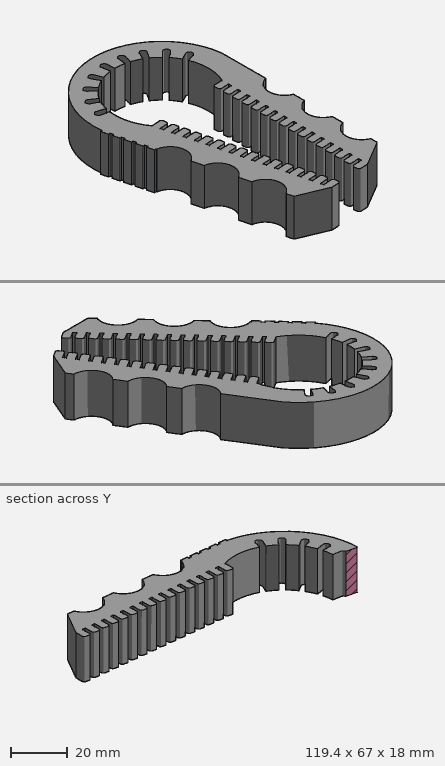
import cadquery as cq
import math

length = 119.4
height = 18.0
outer_radius = 33.1
inner_radius = 22.6

shoulder_x = 112.9
shoulder_y = 23.0
nose_y = 9.8
arm_slope = (outer_radius - shoulder_y) / (shoulder_x - outer_radius)
arm_angle = math.atan(arm_slope)

tooth_count = 16
tooth_width = 3.3
first_tooth_x = 44.7
first_tip_y = 14.3
tip_fillet = 1.0
tooth_pitch = (length - tooth_width - first_tooth_x) / (tooth_count - 1)

root_start_y = math.sqrt(inner_radius**2 - (first_tooth_x - outer_radius) ** 2)

scallop_count = 3
scallop_radius = 7.5
scallop_pitch = 20.0
first_scallop_x = 63.2
first_scallop_y = 31.6

slot_count = 9
slot_step_angle = 18.0
slot_end_radius = 1.4
slot_end_distance = 26.5
slot_mouth_width = 2.3

pad_count = 5
pad_height = 0.8


def root_y(x):
    """Height of the tooth root line above the X axis."""
    return root_start_y - arm_slope * (x - first_tooth_x)


def tooth_left_x(index):
    """X of the tooth flank nearer the rounded end."""
    return first_tooth_x + index * tooth_pitch


def add_tooth(outline, index, side):
    """Run up, over and down one tooth: towards -X on the +Y arm (side 1), +X on the other (side -1)."""
    left = tooth_left_x(index)
    right = left + tooth_width
    start, end = (right, left) if side > 0 else (left, right)
    tip_y = first_tip_y - arm_slope * index * tooth_pitch
    corner_inset = tip_fillet * (1 - math.sqrt(0.5))
    flank_y = side * (tip_y + tip_fillet)
    corner_y = side * (tip_y + corner_inset)
    return (
        outline.lineTo(start, flank_y)
        .threePointArc((start - side * corner_inset, corner_y), (start - side * tip_fillet, side * tip_y))
        .lineTo(end + side * tip_fillet, side * tip_y)
        .threePointArc((end + side * corner_inset, corner_y), (end, flank_y))
    )


def add_gap(outline, index, side):
    """Run along the root line between this tooth and the next, in the same direction as add_tooth."""
    left = tooth_left_x(index) + tooth_width
    right = tooth_left_x(index + 1)
    start, end = (right, left) if side > 0 else (left, right)
    return outline.lineTo(start, side * root_y(start)).lineTo(end, side * root_y(end))


def make_body():
    """Rounded end and both toothed arms, before pads, scallops and slots."""
    last_tooth = tooth_count - 1
    outline = (
        cq.Workplane("XY")
        .moveTo(outer_radius, -outer_radius)
        .threePointArc((0, 0), (outer_radius, outer_radius))
        .lineTo(shoulder_x, shoulder_y)
        .lineTo(length, nose_y)
    )
    outline = add_tooth(outline, last_tooth, 1)
    for index in reversed(range(last_tooth)):
        outline = add_gap(outline, index, 1)
        outline = add_tooth(outline, index, 1)
    outline = outline.lineTo(first_tooth_x, root_start_y)
    outline = outline.threePointArc((outer_radius - inner_radius, 0), (first_tooth_x, -root_start_y))
    outline = add_tooth(outline, 0, -1)
    for index in range(last_tooth):
        outline = add_gap(outline, index, -1)
        outline = add_tooth(outline, index + 1, -1)
    return (
        outline.lineTo(length, -nose_y)
        .lineTo(shoulder_x, -shoulder_y)
        .close()
        .extrude(height)
    )


def make_scallops():
    """Cylinders that cut the finger grips."""
    step_x = scallop_pitch * math.cos(arm_angle)
    step_y = -scallop_pitch * math.sin(arm_angle)
    centres = [
        (first_scallop_x + i * step_x, first_scallop_y + i * step_y)
        for i in range(scallop_count)
    ]
    return cq.Workplane("XY").pushPoints(centres).circle(scallop_radius).extrude(height)


def make_slot(angle):
    """Tapered slot with a round end, pointing along -X and then turned about the ring centre."""
    mouth_distance = inner_radius * math.cos(math.radians(slot_step_angle / 2))
    taper = (
        cq.Workplane("XY")
        .moveTo(-mouth_distance, -slot_mouth_width / 2)
        .lineTo(-mouth_distance, slot_mouth_width / 2)
        .lineTo(-slot_end_distance, slot_end_radius)
        .lineTo(-slot_end_distance, -slot_end_radius)
        .close()
        .extrude(height)
    )
    round_end = (
        cq.Workplane("XY").center(-slot_end_distance, 0).circle(slot_end_radius).extrude(height)
    )
    slot = taper.union(round_end)
    return slot.rotate((0, 0, 0), (0, 0, 1), angle).translate((outer_radius, 0, 0))


def make_pad(index):
    """One raised pad lying on the outer edge of the -Y arm."""
    left = outer_radius + index * tooth_pitch
    right = left + tooth_width
    left_y = -outer_radius + arm_slope * (left - outer_radius)
    right_y = left_y + arm_slope * tooth_width
    return (
        cq.Workplane("XY")
        .moveTo(left, -inner_radius)
        .lineTo(left, left_y - pad_height)
        .lineTo(right, right_y - pad_height)
        .lineTo(right, -inner_radius)
        .close()
        .extrude(height)
    )


result = make_body()

for pad_index in range(pad_count):
    result = result.union(make_pad(pad_index))

scallops = make_scallops()
result = result.cut(scallops).cut(scallops.mirror("XZ"))

for slot_index in range(slot_count):
    slot_angle = (slot_index - (slot_count - 1) / 2) * slot_step_angle
    result = result.cut(make_slot(slot_angle))